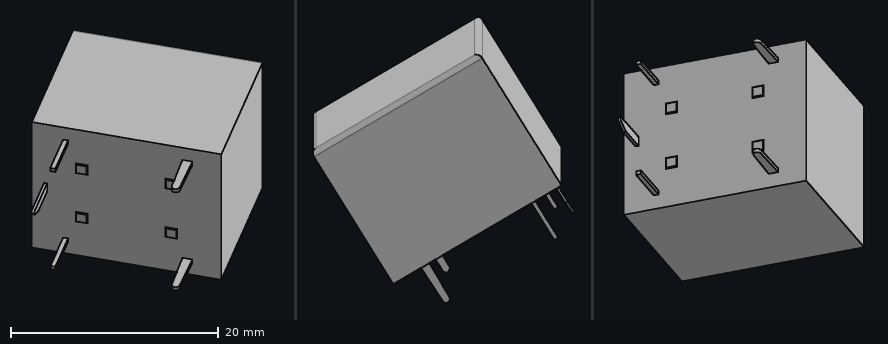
import cadquery as cq
import math

body_width = 19.0
body_depth = 15.4
body_height = 15.4
back_edge_radius = 0.55

pin_length = 4.6
pin_thickness = 0.4
pin_row_z = 6.0

coil_pin_x = -6.1
coil_pin_width = 0.5

contact_pin_x = 6.1
contact_pin_root_width = 1.0
contact_pin_tip_width = 0.8

common_pin_x = -8.1
common_pin_thickness = 0.3
common_pin_height = 1.0
common_tip_radius = 0.25
common_ramp_angle = math.radians(23)

pad_x = 4.5
pad_z = 2.97
pad_base_size = 1.2
pad_top_size = 1.0
pad_height = 0.1


def housing():
    """Box with its four rear edges rounded."""
    box = cq.Workplane("XY").box(
        body_width, body_depth, body_height, centered=(True, False, True)
    )
    return box.faces(">Y").edges().fillet(back_edge_radius)


def coil_pin(z):
    """Plain rectangular pin."""
    return (
        cq.Workplane("XY")
        .box(coil_pin_width, pin_length, pin_thickness)
        .translate((coil_pin_x, -pin_length / 2, z))
    )


def contact_pin(z):
    """Flat pin that narrows slightly to a round end."""
    half_root = contact_pin_root_width / 2
    half_tip = contact_pin_tip_width / 2
    round_start = -pin_length + half_tip
    return (
        cq.Workplane("XY")
        .moveTo(-half_root, 0)
        .lineTo(half_root, 0)
        .lineTo(half_tip, round_start)
        .threePointArc((0, -pin_length), (-half_tip, round_start))
        .close()
        .extrude(pin_thickness / 2, both=True)
        .translate((contact_pin_x, 0, z))
    )


def common_pin():
    """Upright blade whose round tip runs tangentially into a ramp below it."""
    top = common_pin_height / 2
    bottom = -common_pin_height / 2
    round_y = -pin_length + common_tip_radius
    round_z = top - common_tip_radius
    ramp_end_y = round_y - common_tip_radius * math.sin(common_ramp_angle)
    ramp_end_z = round_z - common_tip_radius * math.cos(common_ramp_angle)
    ramp_start_y = ramp_end_y + (ramp_end_z - bottom) / math.tan(common_ramp_angle)
    return (
        cq.Workplane("YZ")
        .moveTo(0, top)
        .lineTo(round_y, top)
        .threePointArc((-pin_length, round_z), (ramp_end_y, ramp_end_z))
        .lineTo(ramp_start_y, bottom)
        .lineTo(0, bottom)
        .close()
        .extrude(common_pin_thickness / 2, both=True)
        .translate((common_pin_x, 0, 0))
    )


def pad(x, z):
    """Square pad tapering away from the mounting face."""
    return (
        cq.Workplane("XZ")
        .center(x, z)
        .rect(pad_base_size, pad_base_size)
        .workplane(offset=pad_height)
        .rect(pad_top_size, pad_top_size)
        .loft()
    )


result = housing().union(common_pin())
for side in (-1, 1):
    result = result.union(coil_pin(side * pin_row_z))
    result = result.union(contact_pin(side * pin_row_z))
    for x in (-pad_x, pad_x):
        result = result.union(pad(x, side * pad_z))